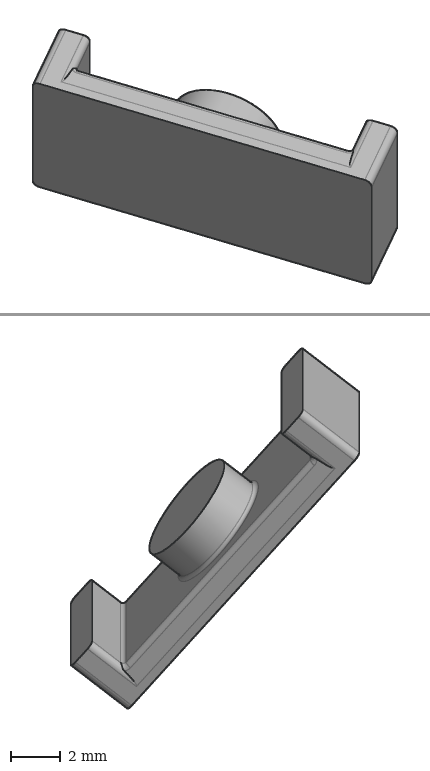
import cadquery as cq
import math

length = 14.5
depth = 2.95
height = 6.7
corner_radius = 0.3

wall_thickness = 1.35
wall_edge_radius = 0.29
plate_thickness = 1.32

rim_width = 0.4
slope_angle = 5.0
plate_edge_radius = 0.25

boss_radius = 2.35
root_radius = 0.16

half_length = length / 2
half_height = height / 2
opening_width = length - 2 * wall_thickness


def make_block(block_depth):
    """Full front outline with rounded corners, starting at y = 0."""
    block = cq.Workplane("XY").box(length, block_depth, height)
    return block.translate((0, block_depth / 2, 0)).edges("|Y").fillet(corner_radius)


def make_end_walls():
    """Two end walls with rounded long edges facing the opening."""
    opening = (
        cq.Workplane("XZ")
        .rect(opening_width, 2 * height)
        .extrude(-depth)
    )
    walls = make_block(depth).cut(opening)
    inner_edges = cq.selectors.BoxSelector(
        (-opening_width / 2 - 0.01, 0, -height),
        (opening_width / 2 + 0.01, depth, height),
    )
    return walls.edges("|Y").edges(inner_edges).fillet(wall_edge_radius)


def make_plate():
    """Channel with sloped top and bottom, whose rounded edge follows the fillets at the walls."""
    drop = (depth - rim_width) * math.tan(math.radians(slope_angle))
    slope_profile = [
        (0, half_height),
        (rim_width, half_height),
        (depth, half_height - drop),
        (depth, drop - half_height),
        (rim_width, -half_height),
        (0, -half_height),
    ]
    plate_length = length - 2 * corner_radius
    plate = cq.Workplane("YZ").polyline(slope_profile).close().extrude(plate_length / 2, both=True)

    opening_depth = depth - plate_thickness
    opening = (
        cq.Workplane("XY")
        .box(opening_width, 2 * opening_depth, 2 * height)
        .translate((0, plate_thickness + opening_depth, 0))
        .edges("|Z and <Y")
        .fillet(root_radius)
    )
    channel = plate.cut(opening)
    plate_edges = cq.selectors.BoxSelector(
        (-0.15, plate_thickness - 0.01, -height),
        (0.15, plate_thickness + 0.01, height),
    )
    return channel.edges("|X").edges(plate_edges).fillet(plate_edge_radius)


def make_boss():
    """Round boss reaching the full depth, flared by a fillet where it meets the plate."""
    profile = (
        cq.Workplane("XY")
        .moveTo(0, depth)
        .lineTo(boss_radius, depth)
        .lineTo(boss_radius, plate_thickness + root_radius)
        .radiusArc((boss_radius + root_radius, plate_thickness), -root_radius)
        .lineTo(boss_radius + root_radius, rim_width)
        .lineTo(0, rim_width)
        .close()
    )
    return profile.revolve(360, (0, 0, 0), (0, 1, 0))


result = make_block(rim_width).union(make_end_walls()).union(make_plate()).union(make_boss())